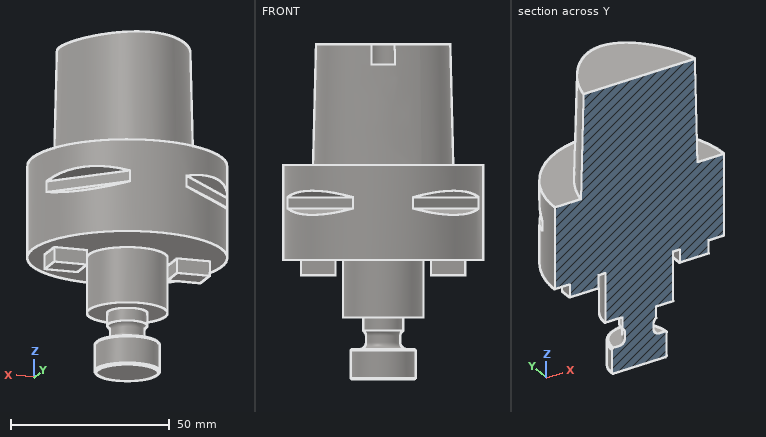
import cadquery as cq
import math

total_height = 105.5
flange_height = 30.0
flange_bottom = 37.6
flange_top = flange_bottom + flange_height
spigot_bottom = 19.5
neck_fillet_bottom = 9.6
neck_top_arc_start = 13.7

flange_diameter = 63.0
spigot_diameter = 25.4
shank_diameter = 12.7
neck_diameter = 10.9
head_diameter = 20.6
neck_fillet = 2.0
head_chamfer = 0.5

lobe_mean_radius = 21.9
lobe_eccentricity = 1.4
taper_ratio = 1 / 20
lobe_span_count = 6
points_per_span = 9
shank_height = total_height - flange_top
shank_radius_drop = shank_height * taper_ratio / 2

notch_radius = 4.9
notch_height = 6.4
notch_inner_y = -17.8

slot_count = 4
slot_depth = 3.6
slot_floor_height = 3.5
slot_wall_angle = 30.0
slot_center_z = 55.6

key_inner_x = 15.0
key_length = 10.9
key_width = 9.3
key_height = 4.7


def make_turned_body():
    """Flange, spigot, necked shank and pull head as one revolved profile."""
    flange_r = flange_diameter / 2
    spigot_r = spigot_diameter / 2
    shank_r = shank_diameter / 2
    neck_r = neck_diameter / 2
    head_r = head_diameter / 2
    diagonal = math.sqrt(0.5)

    arc_step = shank_r - neck_r
    arc_rise = math.sqrt(neck_fillet**2 - (neck_fillet - arc_step) ** 2)
    arc_angle = math.asin(arc_rise / neck_fillet)
    arc_middle = (
        neck_r + neck_fillet * (1 - math.cos(arc_angle / 2)),
        neck_top_arc_start + neck_fillet * math.sin(arc_angle / 2),
    )
    fillet_middle = (
        neck_r + neck_fillet * (1 - diagonal),
        neck_fillet_bottom + neck_fillet * (1 - diagonal),
    )

    profile = (
        cq.Workplane("XZ")
        .moveTo(0, 0)
        .lineTo(head_r - head_chamfer, 0)
        .lineTo(head_r, head_chamfer)
        .lineTo(head_r, neck_fillet_bottom - head_chamfer)
        .lineTo(head_r - head_chamfer, neck_fillet_bottom)
        .lineTo(neck_r + neck_fillet, neck_fillet_bottom)
        .threePointArc(fillet_middle, (neck_r, neck_fillet_bottom + neck_fillet))
        .lineTo(neck_r, neck_top_arc_start)
        .threePointArc(arc_middle, (shank_r, neck_top_arc_start + arc_rise))
        .lineTo(shank_r, spigot_bottom)
        .lineTo(spigot_r, spigot_bottom)
        .lineTo(spigot_r, flange_bottom)
        .lineTo(flange_r, flange_bottom)
        .lineTo(flange_r, flange_top)
        .lineTo(0, flange_top)
        .close()
    )
    return profile.revolve(360, (0, 0, 0), (0, 1, 0))


def lobe_point(mean_radius, angle, z):
    """Point on the three-lobed outline; the angle runs from the +Y lobe."""
    x = -mean_radius * math.sin(angle) + lobe_eccentricity * math.sin(2 * angle)
    y = mean_radius * math.cos(angle) + lobe_eccentricity * math.cos(2 * angle)
    return cq.Vector(x, y, z)


def lobe_wire(mean_radius, z):
    """Closed outline of equal spans, joined midway between lobe tips and flats."""
    span_angle = 2 * math.pi / lobe_span_count
    step = span_angle / (points_per_span - 1)
    spans = []
    for span in range(lobe_span_count):
        start = span_angle * (span + 0.5)
        points = [lobe_point(mean_radius, start + step * i, z) for i in range(points_per_span)]
        spans.append(cq.Edge.makeSpline(points))
    return cq.Wire.assembleEdges(spans)


def make_taper_shank():
    bottom_wire = lobe_wire(lobe_mean_radius, flange_top)
    top_wire = lobe_wire(lobe_mean_radius - shank_radius_drop, total_height)
    shank = cq.Workplane("XY").add(cq.Solid.makeLoft([bottom_wire, top_wire], True))
    notch = (
        cq.Workplane("XY")
        .workplane(offset=total_height - notch_height)
        .center(0, notch_inner_y - notch_radius)
        .circle(notch_radius)
        .extrude(notch_height)
    )
    return shank.cut(notch)


def make_gripper_slot():
    """Trapezoidal slot cutter on the +X side, running straight along Y."""
    floor_x = flange_diameter / 2 - slot_depth
    cutter_reach = 2 * slot_depth
    half_floor = slot_floor_height / 2
    half_mouth = half_floor + cutter_reach * math.tan(math.radians(slot_wall_angle))
    outline = [
        (floor_x, slot_center_z - half_floor),
        (floor_x + cutter_reach, slot_center_z - half_mouth),
        (floor_x + cutter_reach, slot_center_z + half_mouth),
        (floor_x, slot_center_z + half_floor),
    ]
    return cq.Workplane("XZ").polyline(outline).close().extrude(flange_diameter / 2, both=True)


def make_drive_keys():
    key_center_x = key_inner_x + key_length / 2
    return (
        cq.Workplane("XY")
        .workplane(offset=flange_bottom)
        .pushPoints([(-key_center_x, 0), (key_center_x, 0)])
        .rect(key_length, key_width)
        .extrude(-key_height)
    )


body = make_turned_body().union(make_taper_shank()).union(make_drive_keys())

slot_pitch = 360 / slot_count
for index in range(slot_count):
    slot_angle = slot_pitch * (index + 0.5)
    body = body.cut(make_gripper_slot().rotate((0, 0, 0), (0, 0, 1), slot_angle))

result = body